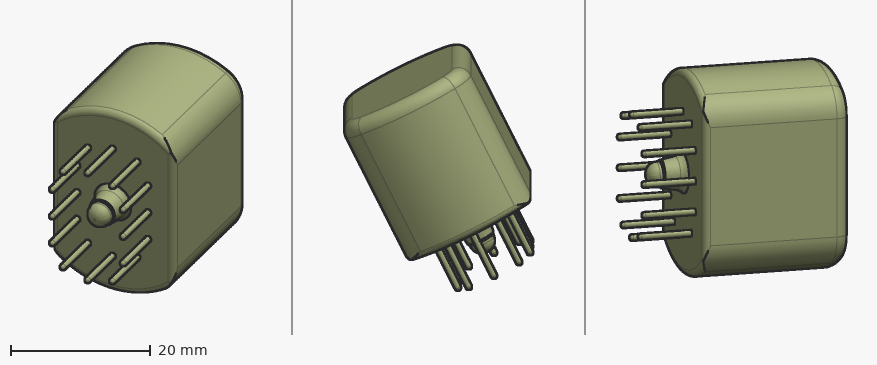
import cadquery as cq
import math

height = 30.0
width = height * 2 / 3
total_depth = 30.0
pin_length = 8.0
body_depth = total_depth - pin_length

crown_radius = height / 2
corner_radius = 5.0
front_fillet = 1.0
back_fillet = 2.0

pin_diameter = 1.0
end_pin_z = 9.0
shoulder_pin_x = 4.02
shoulder_pin_z = 8.0
side_pin_x = 5.75
side_pin_z = 4.5

flare_base_radius = 3.0
flare_top_radius = 2.43
flare_length = 1.05
flare_bulge = 0.1
taper_end_radius = 2.07
taper_end = 3.2
step_radius = 1.92
step_end = 3.48
dome_base_radius = 1.85
dome_start = 3.93
dome_round = 1.68
nose_tip_radius = 0.18
nose_length = 5.5

embed = 0.3


def crowned_prism():
    """Cylinder cut by two flat sides, running from the front face (Y=0) to the back."""
    cylinder = cq.Workplane("XZ").circle(crown_radius).extrude(-body_depth)
    flats = cq.Workplane("XZ").rect(width, 2 * height).extrude(-body_depth)
    return cylinder.intersect(flats)


def make_body():
    """The front fillet follows the sharp outline, the back fillet the rounded one."""
    front_rounded = crowned_prism().faces("<Y").edges().fillet(front_fillet)
    back_rounded = (
        crowned_prism().edges("|Y").fillet(corner_radius)
        .faces(">Y").edges().fillet(back_fillet)
    )
    return front_rounded.intersect(back_rounded)


def pin_positions():
    points = [(0, end_pin_z), (0, -end_pin_z), (side_pin_x, 0), (-side_pin_x, 0)]
    for x, z in ((shoulder_pin_x, shoulder_pin_z), (side_pin_x, side_pin_z)):
        points += [(x, z), (x, -z), (-x, z), (-x, -z)]
    return points


def make_pins():
    """Round pins with hemispherical tips, pointing toward -Y."""
    pin_radius = pin_diameter / 2
    shank_length = pin_length - pin_radius
    pin = (
        cq.Workplane("XY").moveTo(0, embed)
        .lineTo(pin_radius, embed)
        .lineTo(pin_radius, -shank_length)
        .radiusArc((0, -pin_length), pin_radius)
        .close()
        .revolve(360, (0, 0), (0, 1))
    )
    pins = cq.Workplane("XZ")
    for x, z in pin_positions():
        pins = pins.add(pin.translate((x, 0, z)))
    return pins.combine()


def make_nose():
    """Flared, tapered and domed guide nose, revolved about the Y axis."""
    flare_mid = (
        (flare_base_radius + flare_top_radius) / 2 - flare_bulge,
        -flare_length / 2,
    )
    dome_mid = (
        nose_tip_radius + dome_round * math.sin(math.radians(45)),
        -nose_length + dome_round * (1 - math.cos(math.radians(45))),
    )
    return (
        cq.Workplane("XY").moveTo(0, embed)
        .lineTo(flare_base_radius, embed)
        .lineTo(flare_base_radius, 0)
        .threePointArc(flare_mid, (flare_top_radius, -flare_length))
        .lineTo(taper_end_radius, -taper_end)
        .lineTo(step_radius, -step_end)
        .lineTo(dome_base_radius, -dome_start)
        .threePointArc(dome_mid, (nose_tip_radius, -nose_length))
        .lineTo(0, -nose_length)
        .close()
        .revolve(360, (0, 0), (0, 1))
    )


result = make_body().union(make_pins()).union(make_nose())